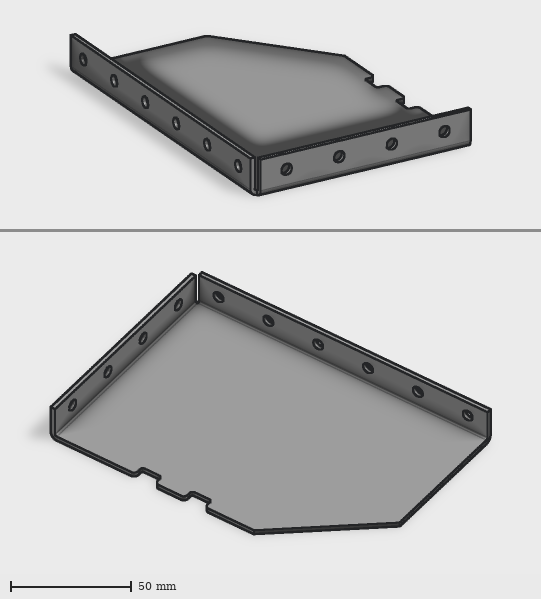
import cadquery as cq

length = 150.4
width = 104.7
height = 17.3

thickness = 2.3
inner_bend_radius = 0.9
outer_bend_radius = thickness + inner_bend_radius

base_length = length - outer_bend_radius
base_width = width - outer_bend_radius
corner_cut_x = 46.8
corner_cut_y = 39.0

hole_diameter = 5.0
hole_height = 10.1
hole_pitch = 25.4
front_hole_count = 6
side_hole_count = 4
front_first_hole_x = 10.2
side_last_hole_y = width - hole_pitch / 2

notch_count = 2
notch_first_x = 76.9
notch_width = 10.1
notch_depth = 5.0
notch_mouth_radius = 2.0
notch_floor_radius = 1.2


def make_base():
    """Flat plate with a sloping rear left corner and notched rear edge."""
    outline = (
        cq.Workplane("XY")
        .moveTo(0, outer_bend_radius)
        .lineTo(base_length, outer_bend_radius)
        .lineTo(base_length, width)
    )
    floor_y = width - notch_depth
    for index in reversed(range(notch_count)):
        center_x = notch_first_x + index * hole_pitch
        right = center_x + notch_width / 2
        left = center_x - notch_width / 2
        outline = outline.lineTo(right, width).lineTo(right, floor_y)
        outline = outline.lineTo(left, floor_y).lineTo(left, width)
    outline = outline.lineTo(corner_cut_x, width).lineTo(0, width - corner_cut_y).close()
    base = outline.extrude(thickness)

    first_left = notch_first_x - notch_width / 2
    last_right = notch_first_x + (notch_count - 1) * hole_pitch + notch_width / 2
    margin = notch_mouth_radius
    for edge_y, radius in ((floor_y, notch_floor_radius), (width, notch_mouth_radius)):
        corners = cq.selectors.BoxSelector(
            (first_left - margin, edge_y - margin, -margin),
            (last_right + margin, edge_y + margin, thickness + margin),
        )
        base = base.edges("|Z").edges(corners).fillet(radius)
    return base


def make_flange(run):
    """Bend and upright wall, extruded along +Y with the bend line at the origin."""
    return (
        cq.Workplane("XZ")
        .lineTo(0, thickness)
        .radiusArc((inner_bend_radius, outer_bend_radius), -inner_bend_radius)
        .lineTo(inner_bend_radius, height)
        .lineTo(outer_bend_radius, height)
        .lineTo(outer_bend_radius, outer_bend_radius)
        .radiusArc((0, 0), outer_bend_radius)
        .close()
        .extrude(-run)
    )


def make_side_flange():
    """Flange along the right edge with holes through X."""
    flange = make_flange(base_width).translate((base_length, outer_bend_radius, 0))
    holes = [(side_last_hole_y - i * hole_pitch, hole_height) for i in range(side_hole_count)]
    cutters = (
        cq.Workplane("YZ", origin=(base_length, 0, 0))
        .pushPoints(holes)
        .circle(hole_diameter / 2)
        .extrude(outer_bend_radius)
    )
    return flange.cut(cutters)


def make_front_flange():
    """Flange along the front edge with holes through Y."""
    flange = make_flange(base_length).rotate((0, 0, 0), (0, 0, 1), -90)
    flange = flange.translate((0, outer_bend_radius, 0))
    holes = [(front_first_hole_x + i * hole_pitch, hole_height) for i in range(front_hole_count)]
    cutters = (
        cq.Workplane("XZ", origin=(0, outer_bend_radius, 0))
        .pushPoints(holes)
        .circle(hole_diameter / 2)
        .extrude(outer_bend_radius)
    )
    return flange.cut(cutters)


result = make_base().union(make_side_flange()).union(make_front_flange())